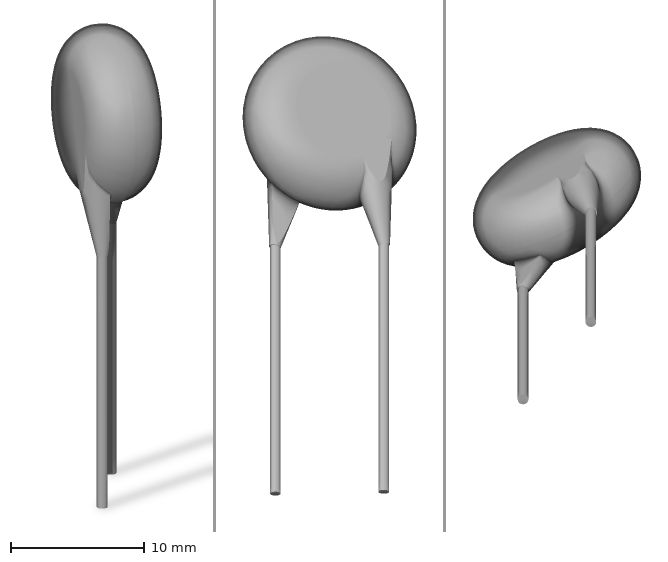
import cadquery as cq
import math

disc_diameter = 13.5
disc_thickness = 5.9
rim_fillet = 2.92

total_height = 36.5
lead_diameter = 0.8
lead_spacing_x = 7.5
lead_x = lead_spacing_x / 2
lead_y = 1.6
lead_bottom_z = disc_diameter / 2 - total_height

leg_outward_shift = 0.05
leg_end_z = -9.9
leg_tilt = 10.0
leg_length = 8.0
leg_end_radius = 0.45
leg_top_radius = 2.0
leg_inner_flat = 0.47

side_angles = (0, 180)


def place_on_side(body, angle):
    return body.rotate((0, 0, 0), (0, 0, 1), angle)


def make_leg():
    """Cone leaning in X, trimmed by the disc face and by an inner flat."""
    tilt = math.radians(leg_tilt)
    axis = cq.Vector(-math.sin(tilt), 0, math.cos(tilt))
    end = cq.Vector(lead_x + leg_outward_shift, -lead_y, leg_end_z)
    cone = cq.Workplane(cq.Solid.makeCone(leg_end_radius, leg_top_radius, leg_length, end, axis))

    outer_y = -disc_thickness / 2
    inner_y = -lead_y + leg_inner_flat
    slab_size = 2 * total_height
    slab = (
        cq.Workplane("XY")
        .box(slab_size, inner_y - outer_y, slab_size)
        .translate((0, (inner_y + outer_y) / 2, 0))
    )
    return cone.intersect(slab)


def make_lead(leg):
    """Wire that ends flush against the slanted lower end of its leg."""
    overlap = lead_diameter / 2
    length = leg_end_z + overlap - lead_bottom_z
    wire = (
        cq.Workplane("XY", origin=(lead_x, -lead_y, lead_bottom_z))
        .circle(lead_diameter / 2)
        .extrude(length)
    )
    return wire.cut(leg)


def make_disc(legs):
    """Rounded disc with a matching recess for each leg."""
    disc = (
        cq.Workplane("XZ")
        .circle(disc_diameter / 2)
        .extrude(disc_thickness / 2, both=True)
        .faces("|Y")
        .edges()
        .fillet(rim_fillet)
    )
    for leg in legs:
        disc = disc.cut(leg)
    return disc


single_leg = make_leg()
single_lead = make_lead(single_leg)
legs = [place_on_side(single_leg, angle) for angle in side_angles]
leads = [place_on_side(single_lead, angle) for angle in side_angles]
disc = make_disc(legs)

result = cq.Compound.makeCompound(
    [disc.solids().val()] + [leg.solids().val() for leg in legs] + [lead.solids().val() for lead in leads]
)